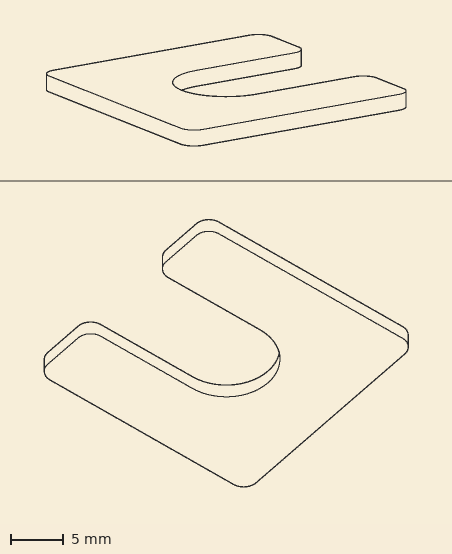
import cadquery as cq

side = 25.4
thickness = 1.57
slot_width = 10.15
corner_radius = 1.52

slot_radius = slot_width / 2
half_side = side / 2

plate = cq.Workplane("XY").rect(side, side).extrude(thickness)

slot = (
    cq.Workplane("XY")
    .moveTo(-slot_radius, half_side)
    .lineTo(-slot_radius, 0)
    .threePointArc((0, -slot_radius), (slot_radius, 0))
    .lineTo(slot_radius, half_side)
    .close()
    .extrude(thickness)
)

corner_points = [
    (x, half_side) for x in (-half_side, -slot_radius, slot_radius, half_side)
] + [(x, -half_side) for x in (-half_side, half_side)]

result = plate.cut(slot)
for x, y in corner_points:
    corner_edge = cq.selectors.NearestToPointSelector((x, y, thickness / 2))
    result = result.edges("|Z").edges(corner_edge).fillet(corner_radius)